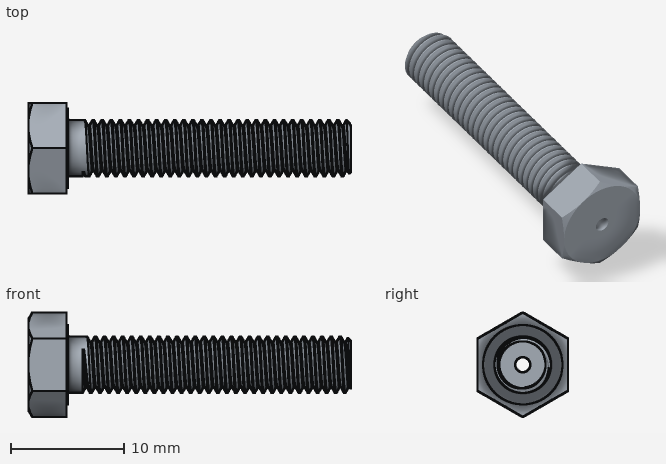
import cadquery as cq
import math

TOTAL_LENGTH = 28.5

HEX_SIDES = 6
HEX_ACROSS_FLATS = 8.0
HEX_HEIGHT = 3.4
HEAD_CHAMFER_ANGLE = 30.0

WASHER_DIAMETER = 7.0
WASHER_THICKNESS = 0.1

SHANK_DIAMETER = 5.0
NECK_FILLET = 0.09
THREAD_START = 5.13
THREAD_LENGTH = 24.0
THREAD_TURNS = 30
THREAD_DEPTH = 0.48
THREAD_FLANK_ANGLE = 30.0
THREAD_CREST = 0.1
GROOVE_OVERCUT = 0.03
LEAD_IN_ANGLE = 130
TIP_CHAMFER = 0.43

BORE_DIAMETER = 1.3

HEX_ACROSS_CORNERS = HEX_ACROSS_FLATS / math.cos(math.pi / HEX_SIDES)
HEAD_HEIGHT = HEX_HEIGHT + WASHER_THICKNESS
SHANK_RADIUS = SHANK_DIAMETER / 2
THREAD_PITCH = THREAD_LENGTH / THREAD_TURNS
ROOT_RADIUS = SHANK_RADIUS - THREAD_DEPTH
AXIS = (1, 0, 0)
STRAIGHT_HELIX = 360


def make_head():
    """Hexagonal prism with corners on Z, its outer corners cut by a cone."""
    hexagon = (
        cq.Workplane("YZ")
        .polygon(HEX_SIDES, HEX_ACROSS_CORNERS)
        .extrude(HEX_HEIGHT)
        .rotate((0, 0, 0), AXIS, 90)
    )
    corner_radius = HEX_ACROSS_CORNERS / 2
    face_radius = HEX_ACROSS_FLATS / 2
    chamfer_depth = (corner_radius - face_radius) * math.tan(math.radians(HEAD_CHAMFER_ANGLE))
    envelope = (
        cq.Workplane("XY")
        .polyline([
            (0, 0),
            (0, face_radius),
            (chamfer_depth, corner_radius),
            (HEX_HEIGHT, corner_radius),
            (HEX_HEIGHT, 0),
        ])
        .close()
        .revolve(360, (0, 0, 0), AXIS)
    )
    return hexagon.intersect(envelope)


def make_shank():
    """Washer face and plain shank, filleted at the neck and chamfered at the tip."""
    return (
        cq.Workplane("XY")
        .moveTo(HEX_HEIGHT, 0)
        .lineTo(HEX_HEIGHT, WASHER_DIAMETER / 2)
        .lineTo(HEAD_HEIGHT, WASHER_DIAMETER / 2)
        .lineTo(HEAD_HEIGHT, SHANK_RADIUS + NECK_FILLET)
        .radiusArc((HEAD_HEIGHT + NECK_FILLET, SHANK_RADIUS), -NECK_FILLET)
        .lineTo(TOTAL_LENGTH - TIP_CHAMFER, SHANK_RADIUS)
        .lineTo(TOTAL_LENGTH, SHANK_RADIUS - TIP_CHAMFER)
        .lineTo(TOTAL_LENGTH, 0)
        .close()
        .revolve(360, (0, 0, 0), AXIS)
    )


def make_thread_groove():
    """Right-handed V groove with a flat root, as two solids: the full-depth coil and its lead-in."""
    flank_slope = math.tan(math.radians(THREAD_FLANK_ANGLE))
    half_mouth = (THREAD_PITCH - THREAD_CREST) / 2
    half_root = half_mouth - THREAD_DEPTH * flank_slope
    half_outer = half_mouth + GROOVE_OVERCUT * flank_slope
    outer_radius = SHANK_RADIUS + GROOVE_OVERCUT
    section = [
        (-half_root, ROOT_RADIUS),
        (-half_outer, outer_radius),
        (half_outer, outer_radius),
        (half_root, ROOT_RADIUS),
    ]

    lead_in_length = THREAD_PITCH * LEAD_IN_ANGLE / 360
    lead_in_taper = math.degrees(math.atan2(THREAD_DEPTH + GROOVE_OVERCUT, lead_in_length))

    def coil(length, direction, taper):
        """Groove section carried along a helix; the taper is the half angle of its cone."""
        slant = 1 / math.cos(math.radians(taper))
        edges = []
        for axial_offset, radius in section:
            start = cq.Vector(THREAD_START + axial_offset, 0, 0)
            edges.append(
                cq.Wire.makeHelix(THREAD_PITCH * slant, length * slant, radius, start, direction, taper)
            )
        faces = [cq.Face.makeRuledSurface(edges[i - 1], edges[i]) for i in range(len(edges))]
        for corners in ([e.startPoint() for e in edges], [e.endPoint() for e in edges]):
            faces.append(cq.Face.makeFromWires(cq.Wire.makePolygon(corners, close=True)))
        solid = cq.Solid.makeSolid(cq.Shell.makeShell(faces))
        return cq.Workplane(solid)

    full_depth = coil(THREAD_LENGTH, cq.Vector(1, 0, 0), STRAIGHT_HELIX).rotate((0, 0, 0), AXIS, 180)
    lead_in = coil(lead_in_length, cq.Vector(-1, 0, 0), lead_in_taper)
    return full_depth, lead_in


def make_bore():
    """Straight hole along the axis, from the head face out through the tip."""
    return cq.Workplane("YZ").circle(BORE_DIAMETER / 2).extrude(TOTAL_LENGTH)


full_depth_groove, lead_in_groove = make_thread_groove()
threaded_shank = make_shank().cut(full_depth_groove).cut(lead_in_groove)
result = make_head().union(threaded_shank).cut(make_bore())